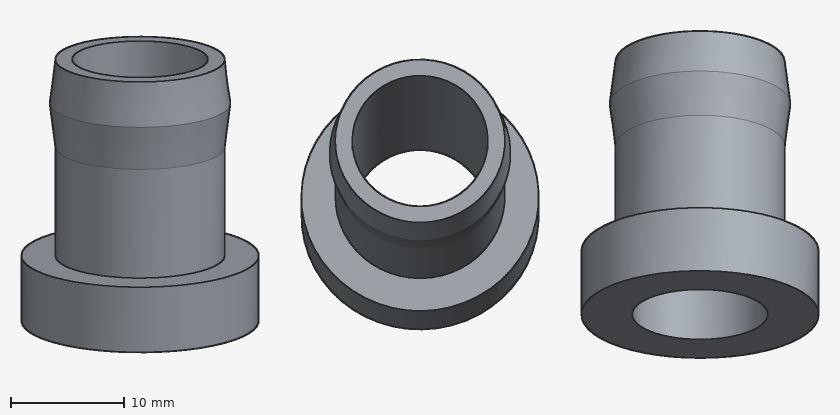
import cadquery as cq

total_height = 24.0
flange_diameter = 21.0
flange_height = total_height / 4
tube_diameter = 15.0
bore_diameter = 12.0

barb_diameter = 16.0
barb_height = total_height / 3
barb_base_z = total_height - barb_height
barb_ridge_z = total_height - barb_height / 2

flange_radius = flange_diameter / 2
tube_radius = tube_diameter / 2
barb_radius = barb_diameter / 2
bore_radius = bore_diameter / 2

wall_section = (
    cq.Workplane("XZ")
    .moveTo(bore_radius, 0)
    .lineTo(flange_radius, 0)
    .lineTo(flange_radius, flange_height)
    .lineTo(tube_radius, flange_height)
    .lineTo(tube_radius, barb_base_z)
    .lineTo(barb_radius, barb_ridge_z)
    .lineTo(tube_radius, total_height)
    .lineTo(bore_radius, total_height)
    .close()
)

result = wall_section.revolve(360, (0, 0, 0), (0, 1, 0))